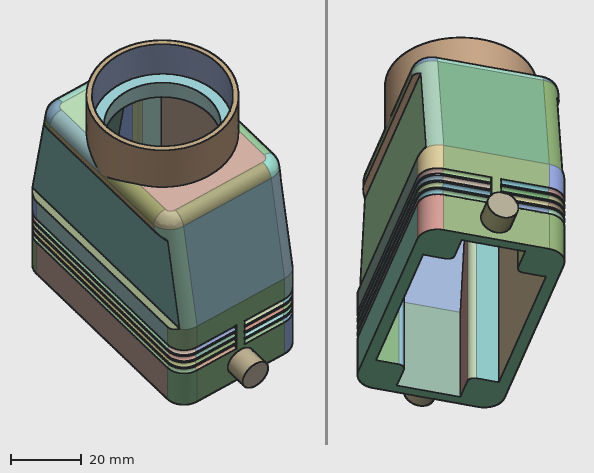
import cadquery as cq
import math

overall_length = 87.0
overall_height = 85.0
hood_length = 73.1
hood_width = 43.0
hood_height = 69.95
taper_start = 31.0
taper_angle = 10.0
corner_radius = 6.0
roof_fillet = 4.0

recess_depth = 1.5
recess_bottom = 29.6
recess_top = 63.6

neck_radius = hood_width / 2
socket_radius = 19.9
socket_depth = 12.2
entry_radius = 16.5

end_wall = 3.0
side_wall = 3.5
roof_wall = 3.05
pillar_inner_x = 24.4
pillar_inner_y = 9.3
pillar_edge_radius = 2.0

groove_count = 4
groove_pitch = 2.5
groove_radius = 1.0
lowest_groove = 13.8
groove_gap = 2.8

pin_radius = 4.5
pin_height = 7.05


def tapered_block(length, width, height):
    """Block with upright lower ends and leaning upper ends, centred on the Z axis."""
    half_bottom = length / 2
    half_top = half_bottom - (height - taper_start) * math.tan(math.radians(taper_angle))
    profile = [
        (-half_bottom, 0),
        (half_bottom, 0),
        (half_bottom, taper_start),
        (half_top, height),
        (-half_top, height),
        (-half_bottom, taper_start),
    ]
    return cq.Workplane("XZ").polyline(profile).close().extrude(width / 2, both=True)


def hood_body():
    """Solid outer form with rounded corners and a rounded roof edge."""
    block = tapered_block(hood_length, hood_width, hood_height)
    rounded = block.edges("not(|X or |Y)").fillet(corner_radius)
    return rounded.faces(">Z").edges().fillet(roof_fillet)


def side_recess(side):
    """Cutter with 45 degree upper and lower flanks; side is -1 or 1 along Y."""
    outer = side * hood_width / 2
    inner = outer - side * recess_depth
    section = [
        (outer, recess_bottom),
        (inner, recess_bottom + recess_depth),
        (inner, recess_top - recess_depth),
        (outer, recess_top),
    ]
    return cq.Workplane("YZ").polyline(section).close().extrude(hood_length / 2, both=True)


def cavity():
    """Hollow with a square pillar left standing in each corner."""
    hollow_length = hood_length - 2 * end_wall
    hollow_width = hood_width - 2 * side_wall
    hollow = tapered_block(hollow_length, hollow_width, hood_height - roof_wall)
    pillar_x = hood_length / 2 - pillar_inner_x
    pillar_y = hood_width / 2 - pillar_inner_y
    pillar = (
        cq.Workplane("XY")
        .box(pillar_x, pillar_y, hood_height, centered=False)
        .edges("|Z and <X and <Y")
        .fillet(pillar_edge_radius)
        .translate((pillar_inner_x, pillar_inner_y, 0))
    )
    pair = pillar.union(pillar.mirror("YZ"))
    return hollow.cut(pair).cut(pair.mirror("XZ"))


def grip_groove(height):
    """Pair of half-round grooves that wrap the hood, parted in the middle of both end walls."""
    end_x = hood_length / 2
    side_y = -hood_width / 2
    gap_y = -groove_gap / 2
    path = (
        cq.Workplane("XY", origin=(0, 0, height))
        .moveTo(-end_x, gap_y)
        .lineTo(-end_x, side_y + corner_radius)
        .tangentArcPoint((corner_radius, -corner_radius))
        .lineTo(end_x - corner_radius, side_y)
        .tangentArcPoint((corner_radius, corner_radius))
        .lineTo(end_x, gap_y)
    )
    front = cq.Workplane("XZ", origin=(-end_x, gap_y, height)).circle(groove_radius).sweep(path)
    return front.union(front.mirror("XZ"))


def neck():
    """Tube stock for the cable neck; it starts level with the recess tops so that it leaves them open."""
    return (
        cq.Workplane("XY", origin=(0, 0, recess_top))
        .circle(neck_radius)
        .extrude(overall_height - recess_top)
    )


def pin_bar():
    """Bar through the hood; hollowing the hood afterwards leaves one pin on each end wall."""
    return (
        cq.Workplane("YZ", origin=(0, 0, pin_height))
        .circle(pin_radius)
        .extrude(overall_length / 2, both=True)
    )


def cable_passage():
    """Wide socket in the neck above a narrower hole through the roof."""
    socket = (
        cq.Workplane("XY", origin=(0, 0, overall_height))
        .circle(socket_radius)
        .extrude(-socket_depth)
    )
    entry = cq.Workplane("XY").circle(entry_radius).extrude(overall_height)
    return socket.union(entry)


result = hood_body().union(neck())

for side in (-1, 1):
    result = result.cut(side_recess(side))

for index in range(groove_count):
    result = result.cut(grip_groove(lowest_groove + index * groove_pitch))

result = result.union(pin_bar())
result = result.cut(cavity()).cut(cable_passage())